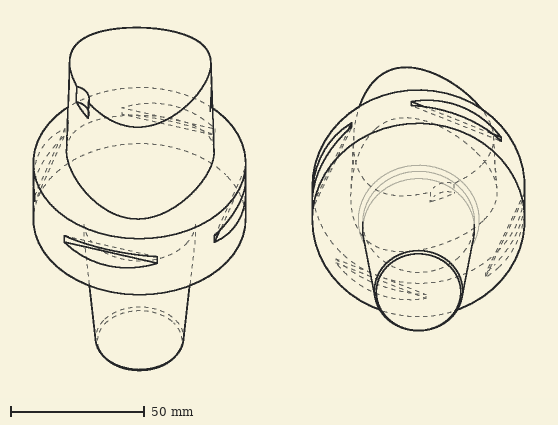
import cadquery as cq
import math

total_height = 143.0
flange_bottom = 65.0
flange_height = 30.0
flange_top = flange_bottom + flange_height
nose_taper_top = 56.8

flange_radius = 80.0 / 2
neck_radius = 42.0 / 2
neck_fillet = 1.7
nose_end_radius = 16.6
tip_chamfer_width = 0.7
tip_chamfer_height = 1.3

shank_base_mean_radius = 27.5
shank_base_eccentricity = 2.1
shank_top_mean_radius = 26.3
shank_top_eccentricity = 2.0
shank_curve_samples = 48

groove_count = 4
groove_first_angle = 45.0
groove_center_height = 83.1
groove_floor_distance = 35.5
groove_floor_half_height = 1.7
groove_flank_angle = 30.0
groove_tool_reach = 42.9

notch_radius = 6.9
notch_back_y = -22.2
notch_depth = 8.3


def make_turned_body():
    """Revolve the chamfered tapered nose, the filleted neck and the flange."""
    fillet_mid_offset = neck_fillet * (1 - math.sqrt(0.5))
    return (
        cq.Workplane("XZ")
        .lineTo(nose_end_radius - tip_chamfer_width, 0)
        .lineTo(nose_end_radius, tip_chamfer_height)
        .lineTo(neck_radius, nose_taper_top)
        .lineTo(neck_radius, flange_bottom - neck_fillet)
        .threePointArc(
            (neck_radius + fillet_mid_offset, flange_bottom - fillet_mid_offset),
            (neck_radius + neck_fillet, flange_bottom),
        )
        .lineTo(flange_radius, flange_bottom)
        .lineTo(flange_radius, flange_top)
        .lineTo(0, flange_top)
        .close()
        .revolve(360, (0, 0), (0, 1))
    )


def shank_point(turn, mean_radius, eccentricity):
    """Point on a three-lobed hypotrochoid with one lobe towards +Y."""
    angle = 2 * math.pi * turn
    x = mean_radius * math.sin(angle) - eccentricity * math.sin(2 * angle)
    y = mean_radius * math.cos(angle) + eccentricity * math.cos(2 * angle)
    return x, y


def shank_outline(mean_radius, eccentricity, height):
    """Closed smooth wire through evenly spaced points of the lobed curve."""
    points = []
    for sample in range(shank_curve_samples):
        x, y = shank_point(sample / shank_curve_samples, mean_radius, eccentricity)
        points.append(cq.Vector(x, y, height))
    return cq.Wire.assembleEdges([cq.Edge.makeSpline(points, periodic=True)])


def make_shank():
    """Loft between the larger base outline and the smaller top outline."""
    base = shank_outline(shank_base_mean_radius, shank_base_eccentricity, flange_top)
    top = shank_outline(shank_top_mean_radius, shank_top_eccentricity, total_height)
    return cq.Workplane(cq.Solid.makeLoft([base, top], True))


def make_groove_cutter(angle):
    """Straight groove with a flat floor and flanks that open outwards."""
    flank_rise = (groove_tool_reach - groove_floor_distance) * math.tan(math.radians(groove_flank_angle))
    mouth_half_height = groove_floor_half_height + flank_rise
    return (
        cq.Workplane("XZ", origin=(0, 0, groove_center_height))
        .moveTo(groove_floor_distance, -groove_floor_half_height)
        .lineTo(groove_tool_reach, -mouth_half_height)
        .lineTo(groove_tool_reach, mouth_half_height)
        .lineTo(groove_floor_distance, groove_floor_half_height)
        .close()
        .extrude(flange_radius, both=True)
        .rotate((0, 0, 0), (0, 0, 1), angle)
    )


def make_notch_cutter():
    """Upright cylinder that bites into the -Y side of the shank."""
    return (
        cq.Workplane("XY", origin=(0, notch_back_y - notch_radius, total_height - notch_depth))
        .circle(notch_radius)
        .extrude(notch_depth)
    )


result = make_turned_body().union(make_shank())
for index in range(groove_count):
    groove_angle = groove_first_angle + index * 360 / groove_count
    result = result.cut(make_groove_cutter(groove_angle))
result = result.cut(make_notch_cutter())